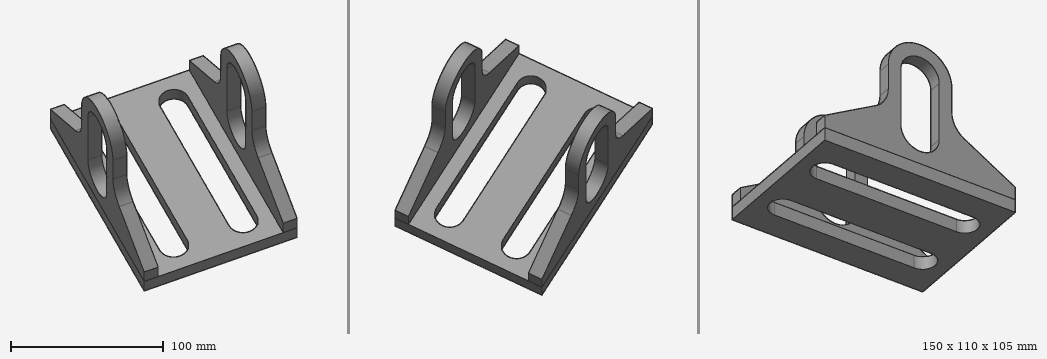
import cadquery as cq
import math

length = 150.0
width = 110.0
height = 105.0
thickness = 10.0

side_slot_radius = 15.0
side_slot_bottom_z = 20.0
side_slot_top_z = height - thickness
arch_radius = side_slot_radius + thickness
arch_center_z = height - arch_radius
shoulder_z = 20.0
shoulder_angle = 30.0
neck_z = shoulder_z + (length / 2 - arch_radius) * math.tan(math.radians(shoulder_angle))
neck_fillet_radius = 20.0
corner_margin = 1.5

base_slot_length = length - 2 * thickness
base_slot_width = 20.0
base_slot_spacing = 50.0


def make_base():
    """Flat plate under the side plates, with two long slots through it."""
    plate = cq.Workplane("XY").box(length, width, thickness, centered=(True, True, False))
    slots = (
        cq.Workplane("XY")
        .pushPoints([(0, -base_slot_spacing / 2), (0, base_slot_spacing / 2)])
        .slot2D(base_slot_length, base_slot_width)
        .extrude(thickness)
    )
    return plate.cut(slots)


def make_side_plate(front_y):
    """Slotted plate on the base, with sloping shoulders and a round top; front_y is its -Y face."""
    plane = cq.Workplane("XZ", origin=(0, front_y, 0))
    plate = (
        plane.moveTo(-length / 2, thickness)
        .lineTo(length / 2, thickness)
        .lineTo(length / 2, shoulder_z)
        .lineTo(arch_radius, neck_z)
        .lineTo(arch_radius, arch_center_z)
        .threePointArc((0, height), (-arch_radius, arch_center_z))
        .lineTo(-arch_radius, neck_z)
        .lineTo(-length / 2, shoulder_z)
        .close()
        .extrude(-thickness)
    )
    neck_corners = cq.selectors.BoxSelector(
        (-length / 2, front_y, neck_z - corner_margin),
        (length / 2, front_y + thickness, neck_z + corner_margin),
    )
    plate = plate.edges("|Y").edges(neck_corners).fillet(neck_fillet_radius)

    slot = (
        plane.center(0, (side_slot_top_z + side_slot_bottom_z) / 2)
        .slot2D(side_slot_top_z - side_slot_bottom_z, 2 * side_slot_radius, 90)
        .extrude(-thickness)
    )
    return plate.cut(slot)


base = make_base()
side_plates = [make_side_plate(front_y) for front_y in (-width / 2, width / 2 - thickness)]

result = cq.Compound.makeCompound([base.val(), *[plate.val() for plate in side_plates]])